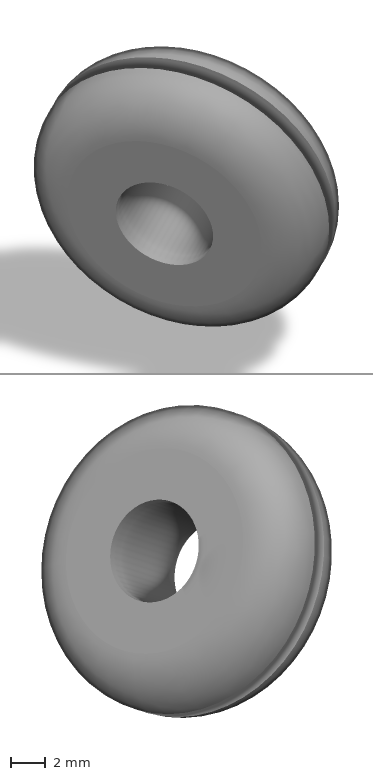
import cadquery as cq
import math

outer_diameter = 18.0
bore_diameter = outer_diameter / 3
groove_diameter = outer_diameter * 2 / 3
total_width = 7.0
groove_width = 1.0

outer_radius = outer_diameter / 2
bore_radius = bore_diameter / 2
groove_radius = groove_diameter / 2
half_width = total_width / 2
half_groove = groove_width / 2

flange_width = half_width - half_groove
face_radius = outer_radius - flange_width
arc_offset = flange_width * math.sqrt(0.5)
arc_mid_radius = face_radius + arc_offset
arc_mid_y = half_groove + arc_offset

section = (
    cq.Workplane("XY")
    .moveTo(bore_radius, -half_width)
    .lineTo(face_radius, -half_width)
    .threePointArc((arc_mid_radius, -arc_mid_y), (outer_radius, -half_groove))
    .lineTo(groove_radius, -half_groove)
    .lineTo(groove_radius, half_groove)
    .lineTo(outer_radius, half_groove)
    .threePointArc((arc_mid_radius, arc_mid_y), (face_radius, half_width))
    .lineTo(bore_radius, half_width)
    .close()
)

result = section.revolve(360, (0, 0, 0), (0, 1, 0))